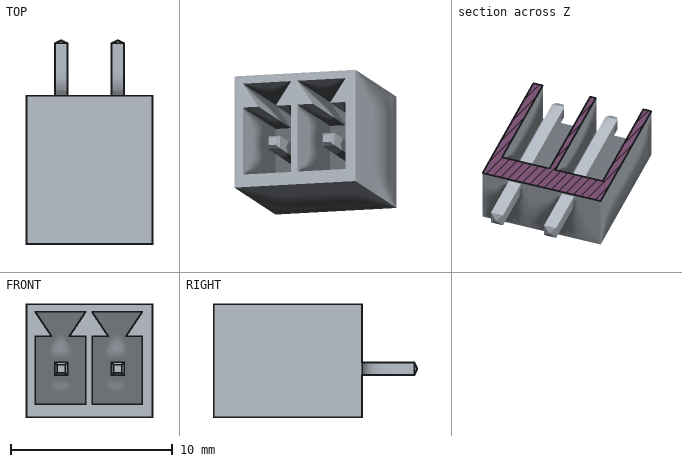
import cadquery as cq

overall_length = 12.6
housing_width = 7.8
housing_length = 9.19
housing_height = 7.0

pole_pitch = 3.5
pole_count = 2
first_cavity_x = 2.1
cavity_width = 3.1
cavity_depth = 7.31
cavity_floor_z = 0.8
shoulder_z = 5.01
keyway_top_z = 6.51
keyway_neck_width = 1.11

pin_size = 0.8
first_pin_x = (housing_width - (pole_count - 1) * pole_pitch) / 2
pin_z = 3.0
pin_front_y = 1.0
front_taper_length = 0.4
front_tip_size = 0.48
rear_taper_length = 0.19
rear_tip_size = 0.006


def make_cavity(center_x):
    """Blind plug cavity opening through the front face."""
    half_width = cavity_width / 2
    half_neck = keyway_neck_width / 2
    outline = [
        (center_x - half_width, cavity_floor_z),
        (center_x + half_width, cavity_floor_z),
        (center_x + half_width, shoulder_z),
        (center_x + half_neck, shoulder_z),
        (center_x + half_width, keyway_top_z),
        (center_x - half_width, keyway_top_z),
        (center_x - half_neck, shoulder_z),
        (center_x - half_width, shoulder_z),
    ]
    return cq.Workplane("XZ").polyline(outline).close().extrude(-cavity_depth)


def pin_segment(center_x, start_y, start_size, end_y, end_size):
    """Square bar lofted along Y between two section sizes."""
    return (
        cq.Workplane("XZ", origin=(center_x, start_y, pin_z))
        .rect(start_size, start_size)
        .workplane(offset=start_y - end_y)
        .rect(end_size, end_size)
        .loft(ruled=True)
    )


def make_pin(center_x):
    """Contact pin with a blunt front tip and a pointed rear tip."""
    shaft_front_y = pin_front_y + front_taper_length
    shaft_rear_y = overall_length - rear_taper_length
    front_tip = pin_segment(center_x, pin_front_y, front_tip_size, shaft_front_y, pin_size)
    shaft = pin_segment(center_x, shaft_front_y, pin_size, shaft_rear_y, pin_size)
    rear_tip = pin_segment(center_x, shaft_rear_y, pin_size, overall_length, rear_tip_size)
    return shaft.union(front_tip).union(rear_tip)


result = cq.Workplane("XY").box(housing_width, housing_length, housing_height, centered=False)
for pole in range(pole_count):
    pole_offset = pole * pole_pitch
    result = result.cut(make_cavity(first_cavity_x + pole_offset))
    result = result.union(make_pin(first_pin_x + pole_offset))